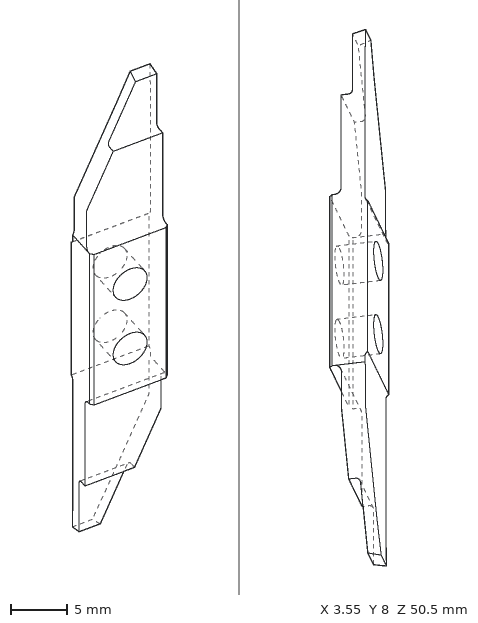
import cadquery as cq
import math

LENGTH = 50.5
WIDTH = 8.0
THICKNESS = 3.55

BLOCK_LENGTH = 17.5
BLOCK_CHAMFER = 0.3
HOLE_DIAMETER = 3.5
HOLE_SPACING = 7.5

PAD_LENGTH = 15.45
PAD_HEIGHT = 0.25
PAD_RELIEF_RADIUS = 0.5

BLADE_FRONT_X = 2.45
BLADE_ROOT_RADIUS = 0.6
BLADE_SIDE_RELIEF = 0.16
SIDE_RELIEF_RADIUS = 1.2
TIP_FRONT_X = 1.4
TIP_LENGTH = 6.4
TIP_BACK_LENGTH = 3.0
TIP_LEAN_ANGLE = 1.0
TIP_ROOT_RADIUS = 0.4
TIP_WIDTH = 2.05
TIP_END_ANGLE = 14.0
SLANT_START_Z = 13.1
SLANT_CORNER_RADIUS = 0.3

HALF_LENGTH = LENGTH / 2
HALF_WIDTH = WIDTH / 2
HALF_BLOCK = BLOCK_LENGTH / 2
HALF_PAD = PAD_LENGTH / 2


def relief_run(depth, radius):
    """Length of a relief arc, tangent to the recessed face, that rises by the given depth."""
    return math.sqrt(2 * radius * depth - depth**2)


def relief_mid(depth, radius):
    """Half-way point of a relief arc: distance from its tangent end, and rise."""
    half_angle = math.asin(relief_run(depth, radius) / radius) / 2
    return radius * math.sin(half_angle), radius * (1 - math.cos(half_angle))


def upper_thickness_profile():
    """Upper half of the stepped XZ section, extruded across the full width."""
    pad_end = HALF_PAD + relief_run(PAD_HEIGHT, PAD_RELIEF_RADIUS)
    mid_run, mid_rise = relief_mid(PAD_HEIGHT, PAD_RELIEF_RADIUS)
    step_z = HALF_LENGTH - TIP_LENGTH
    lean_x = PAD_HEIGHT - TIP_BACK_LENGTH * math.tan(math.radians(TIP_LEAN_ANGLE))
    end_drop = (TIP_FRONT_X - lean_x) * math.tan(math.radians(TIP_END_ANGLE))
    arc_share = 1 - math.sqrt(0.5)
    tip_mid = TIP_ROOT_RADIUS * arc_share
    root_mid = BLADE_ROOT_RADIUS * arc_share
    return (
        cq.Workplane("XZ")
        .moveTo(0, 0)
        .lineTo(0, HALF_PAD)
        .threePointArc((PAD_HEIGHT - mid_rise, pad_end - mid_run), (PAD_HEIGHT, pad_end))
        .lineTo(PAD_HEIGHT, HALF_LENGTH - TIP_BACK_LENGTH)
        .lineTo(lean_x, HALF_LENGTH)
        .lineTo(TIP_FRONT_X, HALF_LENGTH - end_drop)
        .lineTo(TIP_FRONT_X, step_z + TIP_ROOT_RADIUS)
        .threePointArc((TIP_FRONT_X + tip_mid, step_z + tip_mid), (TIP_FRONT_X + TIP_ROOT_RADIUS, step_z))
        .lineTo(BLADE_FRONT_X, step_z)
        .lineTo(BLADE_FRONT_X, HALF_BLOCK + BLADE_ROOT_RADIUS)
        .threePointArc(
            (BLADE_FRONT_X + root_mid, HALF_BLOCK + root_mid),
            (BLADE_FRONT_X + BLADE_ROOT_RADIUS, HALF_BLOCK),
        )
        .lineTo(THICKNESS, HALF_BLOCK)
        .lineTo(THICKNESS, 0)
        .close()
        .extrude(HALF_WIDTH, both=True)
    )


def upper_width_profile():
    """Upper half of the YZ outline, with the slanted edge on the -Y side."""
    blade_y = BLADE_SIDE_RELIEF - HALF_WIDTH
    relief_end = HALF_BLOCK + relief_run(BLADE_SIDE_RELIEF, SIDE_RELIEF_RADIUS)
    mid_run, mid_rise = relief_mid(BLADE_SIDE_RELIEF, SIDE_RELIEF_RADIUS)
    return (
        cq.Workplane("YZ")
        .moveTo(HALF_WIDTH, 0)
        .lineTo(HALF_WIDTH, HALF_LENGTH)
        .lineTo(HALF_WIDTH - TIP_WIDTH, HALF_LENGTH)
        .lineTo(blade_y, SLANT_START_Z)
        .lineTo(blade_y, relief_end)
        .threePointArc((blade_y - mid_rise, relief_end - mid_run), (-HALF_WIDTH, HALF_BLOCK))
        .lineTo(-HALF_WIDTH, 0)
        .close()
        .extrude(THICKNESS)
    )


def round_slant_corner(half):
    """Soften the corner where the slanted edge meets the blade side."""
    corner_point = (BLADE_FRONT_X / 2, BLADE_SIDE_RELIEF - HALF_WIDTH, SLANT_START_Z)
    nearest = cq.selectors.NearestToPointSelector(corner_point)
    return half.edges("|X").edges(nearest).fillet(SLANT_CORNER_RADIUS)


def chamfer_block(body):
    """Bevel the two long +X edges of the centre block."""
    return body.faces(">X").edges("|Z").chamfer(BLOCK_CHAMFER)


def drill_holes(body):
    """Two through holes along X, spaced evenly about the centre."""
    holes = (
        cq.Workplane("YZ")
        .pushPoints([(0, HOLE_SPACING / 2), (0, -HOLE_SPACING / 2)])
        .circle(HOLE_DIAMETER / 2)
        .extrude(THICKNESS)
    )
    return body.cut(holes)


upper_half = round_slant_corner(upper_thickness_profile().intersect(upper_width_profile()))
lower_half = upper_half.rotate((0, 0, 0), (1, 0, 0), 180)
body = upper_half.union(lower_half)
result = drill_holes(chamfer_block(body))